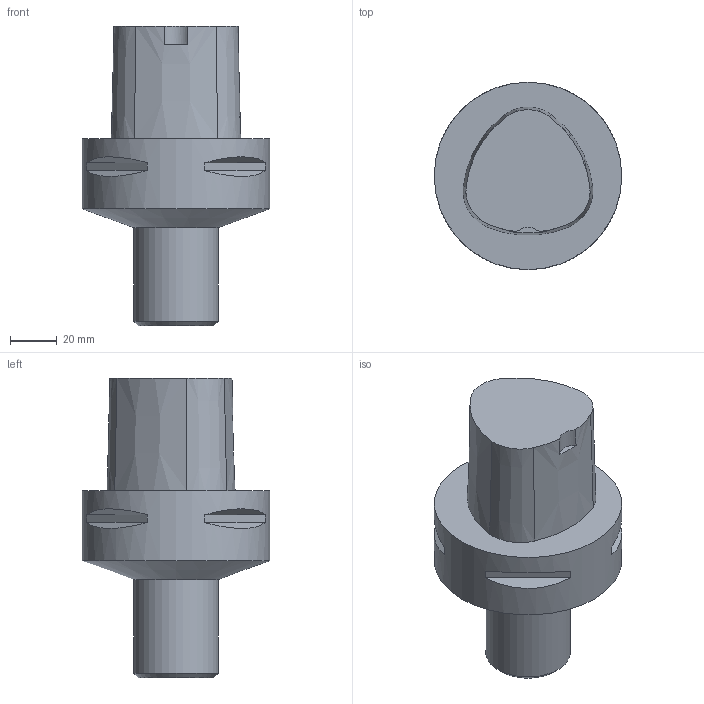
import cadquery as cq
import math

FLANGE_DIAMETER = 80.0
FLANGE_HEIGHT = 30.0
CONE_HEIGHT = 8.0

SPIGOT_DIAMETER = 36.0
SPIGOT_LENGTH = 42.0
SPIGOT_CHAMFER = 2.0

SHANK_LENGTH = 48.0
LOBE_REACH = 29.40
FLANK_REACH = 25.35
LOBE_RADIUS = 16.7
FLANK_ANGLES = (-90, 30, 150)
LOBE_STEP = 60
SHANK_TAPER_RATIO = 1 / 20

NOTCH_RADIUS = 6.9
NOTCH_BACK_Y = -22.0
NOTCH_DEPTH = 8.0

GROOVE_COUNT = 4
GROOVE_FIRST_ANGLE = 45.0
GROOVE_MID_Z = -12.0
GROOVE_FLOOR_WIDTH = 3.3
GROOVE_DEPTH = 4.4
GROOVE_WALL_ANGLE = 30.0


def polar(radius, angle):
    """Point at the given radius and angle in degrees."""
    return (radius * math.cos(math.radians(angle)), radius * math.sin(math.radians(angle)))


def make_body():
    """Flange, cone and chamfered spigot as one turned solid."""
    flange_radius = FLANGE_DIAMETER / 2
    spigot_radius = SPIGOT_DIAMETER / 2
    cone_bottom = -FLANGE_HEIGHT - CONE_HEIGHT
    body_bottom = cone_bottom - SPIGOT_LENGTH
    profile = (
        cq.Workplane("XZ")
        .moveTo(0, 0)
        .lineTo(flange_radius, 0)
        .lineTo(flange_radius, -FLANGE_HEIGHT)
        .lineTo(spigot_radius, cone_bottom)
        .lineTo(spigot_radius, body_bottom + SPIGOT_CHAMFER)
        .lineTo(spigot_radius - SPIGOT_CHAMFER, body_bottom)
        .lineTo(0, body_bottom)
        .close()
    )
    return profile.revolve(360, (0, 0, 0), (0, 1, 0))


def flank_radius():
    """Radius of the flank arc that runs tangent into both neighbouring lobes.

    The flank centre is (radius - FLANK_REACH) from the axis, 120 degrees away from a
    lobe centre; tangency makes the two centres (radius - LOBE_RADIUS) apart.
    """
    lobe_offset = LOBE_REACH - LOBE_RADIUS
    constant = FLANK_REACH**2 - LOBE_RADIUS**2 + lobe_offset**2 - lobe_offset * FLANK_REACH
    return constant / (2 * (FLANK_REACH - LOBE_RADIUS) - lobe_offset)


def make_shank():
    """Tapered trilobe of three lobe arcs and three flank arcs, one lobe toward +Y."""
    radius = flank_radius()
    lobe_offset = LOBE_REACH - LOBE_RADIUS
    flank_offset = radius - FLANK_REACH
    half_sweep = math.atan2(
        lobe_offset * math.sin(math.radians(LOBE_STEP)),
        flank_offset + lobe_offset * math.cos(math.radians(LOBE_STEP)),
    )
    seam_across = radius * math.sin(half_sweep)
    seam_out = radius * math.cos(half_sweep) - flank_offset
    seam_reach = math.hypot(seam_across, seam_out)
    seam_angle = math.degrees(math.atan2(seam_across, seam_out))

    outline = cq.Workplane("XY").moveTo(*polar(seam_reach, FLANK_ANGLES[0] - seam_angle))
    for flank_angle in FLANK_ANGLES:
        outline = outline.threePointArc(
            polar(FLANK_REACH, flank_angle), polar(seam_reach, flank_angle + seam_angle)
        )
        outline = outline.threePointArc(
            polar(LOBE_REACH, flank_angle + LOBE_STEP),
            polar(seam_reach, flank_angle + 2 * LOBE_STEP - seam_angle),
        )
    side_taper = math.degrees(math.atan(SHANK_TAPER_RATIO / 2))
    return outline.close().extrude(SHANK_LENGTH, taper=side_taper)


def make_notch():
    """Upright cylinder that cuts the key notch."""
    return (
        cq.Workplane("XY", origin=(0, NOTCH_BACK_Y - NOTCH_RADIUS, SHANK_LENGTH - NOTCH_DEPTH))
        .circle(NOTCH_RADIUS)
        .extrude(NOTCH_DEPTH)
    )


def make_groove(angle):
    """Straight groove with leaning walls, cut across the flange rim at the given angle."""
    rim = FLANGE_DIAMETER / 2
    floor = rim - GROOVE_DEPTH
    half_floor = GROOVE_FLOOR_WIDTH / 2
    half_mouth = half_floor + GROOVE_DEPTH * math.tan(math.radians(GROOVE_WALL_ANGLE))
    return (
        cq.Workplane("XZ", origin=(0, 0, GROOVE_MID_Z))
        .polyline([(floor, -half_floor), (floor, half_floor), (rim, half_mouth), (rim, -half_mouth)])
        .close()
        .extrude(rim, both=True)
        .rotate((0, 0, 0), (0, 0, 1), angle)
    )


result = make_body().union(make_shank()).cut(make_notch())
for index in range(GROOVE_COUNT):
    result = result.cut(make_groove(GROOVE_FIRST_ANGLE + index * 360 / GROOVE_COUNT))